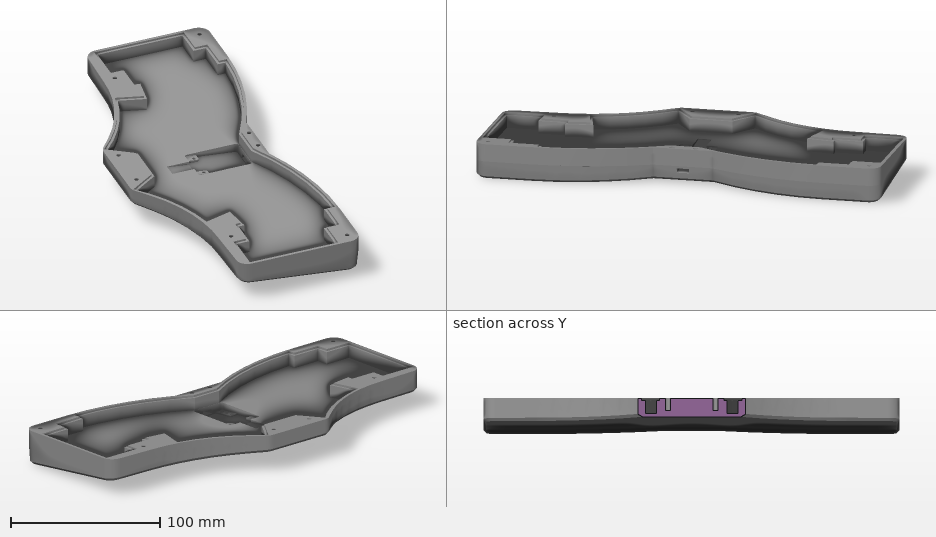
import cadquery as cq
import math

LENGTH = 279.0
WIDTH = 120.8
HEIGHT = 24.3
HALF = LENGTH / 2

TILT = 6.0
TILT_SIN = math.sin(math.radians(TILT))
TILT_COS = math.cos(math.radians(TILT))
SLOPE = TILT_SIN / TILT_COS
EDGE_CHAMFER = 2.0

SEAM_Z = 12.3

LEAN_DEPTH = (SEAM_Z + EDGE_CHAMFER * TILT_SIN) / TILT_COS
LOWEST_Y = WIDTH - EDGE_CHAMFER * TILT_COS - LEAN_DEPTH * TILT_SIN
UNDERSIDE_FRONT_Z = LOWEST_Y * SLOPE

CORNER_RADIUS = 8.0
BACK_ARC_START_X = 101.0
BACK_MIDDLE = (20.4, 102.0)
SIDE_FRONT_Y = 33.2
FRONT_ARC_START = (104.0, 32.0)
FRONT_ARC_END = (38.2, 9.5)

RIM_WIDTH = 2.0
LEDGE_WIDTH = 1.7
LEDGE_DEPTH = 1.5
TRAY_DEPTH = 10.0
TRAY_FLOOR_Z = HEIGHT - TRAY_DEPTH

BACK_PAD_OUTER = (117.7, 104.3)
BACK_PAD_INNER = (96.5, 113.2)
SIDE_PAD_OUTER = (110.2, 39.5)
SIDE_PAD_STEP_Y = 48.8
SIDE_PAD_TOP = (91.0, 52.7)
SIDE_PAD_TIP = (75.9, 50.5)
SIDE_PAD_FOOT_X = 81.2
BACK_BRIDGE_Y = 94.5
FRONT_PAD_TOP = (14.0, 19.5)
FRONT_PAD_FOOT_X = 26.2

SCREW_DIAMETER = 3.0
SCREW_DEPTH = 8.0
SCREW_PLACES = [(131.3, 113.2), (103.5, 40.7), (8.0, 99.0), (16.0, 7.8)]

NOTCH_FRONT_Y = 38.2
NOTCH_HALF_WIDTH = 4.7
NOTCH_END_DEPTH = 0.8
NOTCH_RISE = 0.3
POCKET_HALF_WIDTH = 13.0
POCKET_FRONT = 16.0
POCKET_BACK = 54.0
POCKET_CORNER_RADIUS = 1.7
POST_SIZE = (6.0, 8.5)
POST_HEIGHT = 1.7
POST_HOLE = (9.0, 21.2)
PLATE_SIZE = (6.0, 15.0)
PLATE_HEIGHT = 1.0
PLATE_HOLE_X = 9.8
PLATE_HOLES_Y = [40.7, 45.7, 50.8]
PIN_DIAMETER = 2.4
PIN_DEPTH = 2.0

PORT_WIDTH = 8.5
PORT_HEIGHT = 3.0
PORT_RISE = 0.8


def tangent_arc(start, end):
    """Centre Y and radius of an arc leaving start parallel to X and reaching end."""
    run = start[0] - end[0]
    drop = start[1] - end[1]
    radius = (run**2 + drop**2) / (2 * drop)
    return start[1] - radius, radius


BACK_ARC_CENTRE_Y, BACK_ARC_RADIUS = tangent_arc((BACK_ARC_START_X, WIDTH), BACK_MIDDLE)
FRONT_ARC_CENTRE_Y, FRONT_ARC_RADIUS = tangent_arc(FRONT_ARC_START, FRONT_ARC_END)


def back_arc_y(x, inset=0.0):
    return BACK_ARC_CENTRE_Y + math.sqrt((BACK_ARC_RADIUS - inset) ** 2 - (x - BACK_ARC_START_X) ** 2)


def front_arc_y(x, inset=0.0):
    return FRONT_ARC_CENTRE_Y + math.sqrt((FRONT_ARC_RADIUS + inset) ** 2 - (x - FRONT_ARC_START[0]) ** 2)


def mirrored(half):
    """Join a half body on the +X side with its mirror image."""
    return half.union(half.mirror("YZ"))


def outer_half():
    """Right half of the solid block, with rounded corners."""
    run_slope = (FRONT_ARC_START[0] - FRONT_ARC_END[0]) / (FRONT_ARC_END[1] - FRONT_ARC_CENTRE_Y)
    front_corner_x = FRONT_ARC_END[0] - FRONT_ARC_END[1] / run_slope
    back_mid_x = (BACK_ARC_START_X + BACK_MIDDLE[0]) / 2
    front_mid_x = (FRONT_ARC_START[0] + FRONT_ARC_END[0]) / 2
    block = (
        cq.Workplane("XY")
        .moveTo(0, BACK_MIDDLE[1])
        .lineTo(*BACK_MIDDLE)
        .threePointArc((back_mid_x, back_arc_y(back_mid_x)), (BACK_ARC_START_X, WIDTH))
        .lineTo(HALF, WIDTH)
        .lineTo(HALF, SIDE_FRONT_Y)
        .lineTo(*FRONT_ARC_START)
        .threePointArc((front_mid_x, front_arc_y(front_mid_x)), FRONT_ARC_END)
        .lineTo(front_corner_x, 0)
        .lineTo(0, 0)
        .close()
        .extrude(HEIGHT + EDGE_CHAMFER)
        .translate((0, 0, -EDGE_CHAMFER))
    )
    corners = [(HALF, WIDTH), (HALF, SIDE_FRONT_Y), (front_corner_x, 0)]
    for x, y in corners:
        block = block.edges(cq.selectors.NearestToPointSelector((x, y, HEIGHT / 2))).fillet(CORNER_RADIUS)
    return block


def below_plane(front_z):
    """Large block below a plane that has height front_z at Y = 0 and falls to the back."""
    reach = 2 * WIDTH
    return (
        cq.Workplane("YZ")
        .moveTo(-reach, front_z + reach * SLOPE)
        .lineTo(reach, front_z - reach * SLOPE)
        .lineTo(reach, -reach)
        .lineTo(-reach, -reach)
        .close()
        .extrude(LENGTH, both=True)
    )


def solid_block():
    """Whole block: upright walls above the seam, a back wall square to the underside below it."""
    upright = mirrored(outer_half())
    leaning = upright.rotate((0, WIDTH, SEAM_Z), (1, WIDTH, SEAM_Z), -TILT)
    above_seam = cq.Workplane("XY", origin=(0, 0, SEAM_Z)).rect(2 * LENGTH, 2 * LENGTH).extrude(HEIGHT)
    lower = upright.cut(above_seam).intersect(leaning)
    block = upright.intersect(above_seam).union(lower)
    return block.cut(below_plane(UNDERSIDE_FRONT_Z))


def tray_wire():
    """Outline of the opening inside the rim."""
    side_x = HALF - RIM_WIDTH
    bridge_x = BACK_ARC_START_X - math.sqrt(
        (BACK_ARC_RADIUS - RIM_WIDTH) ** 2 - (BACK_BRIDGE_Y - BACK_ARC_CENTRE_Y) ** 2
    )
    back_mid_x = (bridge_x + BACK_PAD_INNER[0]) / 2
    front_mid_x = (SIDE_PAD_FOOT_X + FRONT_PAD_FOOT_X) / 2

    def back_point(x):
        return (x, back_arc_y(x, RIM_WIDTH))

    def front_point(x):
        return (x, front_arc_y(x, RIM_WIDTH))

    def flip(point):
        return (-point[0], point[1])

    back_steps = [
        BACK_PAD_INNER,
        (BACK_PAD_OUTER[0], BACK_PAD_INNER[1]),
        BACK_PAD_OUTER,
        (side_x, BACK_PAD_OUTER[1]),
        (side_x, SIDE_PAD_OUTER[1]),
        SIDE_PAD_OUTER,
        (SIDE_PAD_OUTER[0], SIDE_PAD_STEP_Y),
        (SIDE_PAD_TOP[0], SIDE_PAD_STEP_Y),
        SIDE_PAD_TOP,
        SIDE_PAD_TIP,
        front_point(SIDE_PAD_FOOT_X),
    ]
    outline = cq.Workplane("XY").moveTo(-bridge_x, BACK_BRIDGE_Y).lineTo(bridge_x, BACK_BRIDGE_Y)
    outline = outline.threePointArc(back_point(back_mid_x), back_point(BACK_PAD_INNER[0]))
    for point in back_steps:
        outline = outline.lineTo(*point)
    outline = outline.threePointArc(front_point(front_mid_x), front_point(FRONT_PAD_FOOT_X))
    outline = outline.lineTo(*FRONT_PAD_TOP).lineTo(*flip(FRONT_PAD_TOP))
    outline = outline.lineTo(*flip(front_point(FRONT_PAD_FOOT_X)))
    outline = outline.threePointArc(flip(front_point(front_mid_x)), flip(front_point(SIDE_PAD_FOOT_X)))
    for point in reversed(back_steps[:-1]):
        outline = outline.lineTo(*flip(point))
    outline = outline.lineTo(*flip(back_point(BACK_PAD_INNER[0])))
    outline = outline.threePointArc(flip(back_point(back_mid_x)), (-bridge_x, BACK_BRIDGE_Y))
    return outline.close()


def pocket_plane(lift=0.0):
    """Plane parallel to the pocket floor and lift above it, with its origin below the notch end."""
    origin = (0, NOTCH_FRONT_Y, TRAY_FLOOR_Z - NOTCH_END_DEPTH)
    plane = cq.Plane(origin=origin, xDir=(1, 0, 0), normal=(0, TILT_SIN, TILT_COS))
    return cq.Workplane(plane).workplane(offset=lift)


def pocket_block(x_range, y_range, lift, height):
    """Block square to the pocket floor, standing lift above it; Y counts from the notch end."""
    return (
        pocket_plane(lift)
        .center(sum(x_range) / 2, sum(y_range) / 2)
        .rect(x_range[1] - x_range[0], y_range[1] - y_range[0])
        .extrude(height)
    )


def pocket():
    """Space removed below the tray floor, with the posts and the plate left standing."""
    upright = cq.selectors.ParallelDirSelector(pocket_plane().plane.zDir)
    well_x = (-POCKET_HALF_WIDTH, POCKET_HALF_WIDTH)
    notch_x = (-NOTCH_HALF_WIDTH, NOTCH_HALF_WIDTH)
    well = pocket_block(well_x, (POCKET_FRONT, POCKET_BACK), 0, TRAY_DEPTH)
    well = well.edges(upright).fillet(POCKET_CORNER_RADIUS)
    notch = pocket_block(notch_x, (0, POCKET_FRONT + POCKET_CORNER_RADIUS), NOTCH_RISE, TRAY_DEPTH)

    post_y = (POCKET_FRONT, POCKET_FRONT + POST_SIZE[1])
    post_inner_x = POCKET_HALF_WIDTH - POST_SIZE[0]
    right_post = pocket_block((post_inner_x, POCKET_HALF_WIDTH), post_y, 0, POST_HEIGHT)
    right_post = right_post.edges(upright).edges("<X").edges(">Y").fillet(POCKET_CORNER_RADIUS)
    left_post = right_post.mirror("YZ")
    plate_x = (POCKET_HALF_WIDTH - PLATE_SIZE[0], POCKET_HALF_WIDTH)
    plate = pocket_block(plate_x, (POCKET_BACK - PLATE_SIZE[1], POCKET_BACK), 0, PLATE_HEIGHT)

    below_tray = cq.Workplane("XY").rect(LENGTH, 2 * WIDTH).extrude(TRAY_FLOOR_Z)
    return well.union(notch).cut(right_post).cut(left_post).cut(plate).intersect(below_tray)


def pin_holes():
    """Blind holes in the posts and the plate, square to the pocket floor."""
    places = [(-POST_HOLE[0], POST_HOLE[1]), POST_HOLE]
    places += [(PLATE_HOLE_X, y) for y in PLATE_HOLES_Y]
    return pocket_plane(-PIN_DEPTH).pushPoints(places).circle(PIN_DIAMETER / 2).extrude(PIN_DEPTH + POST_HEIGHT)


def cable_port():
    """Slot from the back wall of the pocket through to the outside."""
    return pocket_block(
        (-PORT_WIDTH / 2, PORT_WIDTH / 2), (POCKET_BACK - POCKET_CORNER_RADIUS, WIDTH), PORT_RISE, PORT_HEIGHT
    )


def screw_holes():
    """Blind holes sunk from the top of the pads."""
    places = [(side * x, y) for x, y in SCREW_PLACES for side in (-1, 1)]
    return (
        cq.Workplane("XY", origin=(0, 0, HEIGHT - SCREW_DEPTH))
        .pushPoints(places)
        .circle(SCREW_DIAMETER / 2)
        .extrude(SCREW_DEPTH)
    )


block = solid_block()
block = block.faces("<Z").chamfer(EDGE_CHAMFER)
ledge = tray_wire().extrude(LEDGE_DEPTH).translate((0, 0, HEIGHT - LEDGE_DEPTH))
tray = tray_wire().offset2D(-LEDGE_WIDTH, "tangent").extrude(TRAY_DEPTH).translate((0, 0, TRAY_FLOOR_Z))

result = block.cut(ledge).cut(tray).cut(pocket()).cut(pin_holes()).cut(screw_holes()).cut(cable_port())